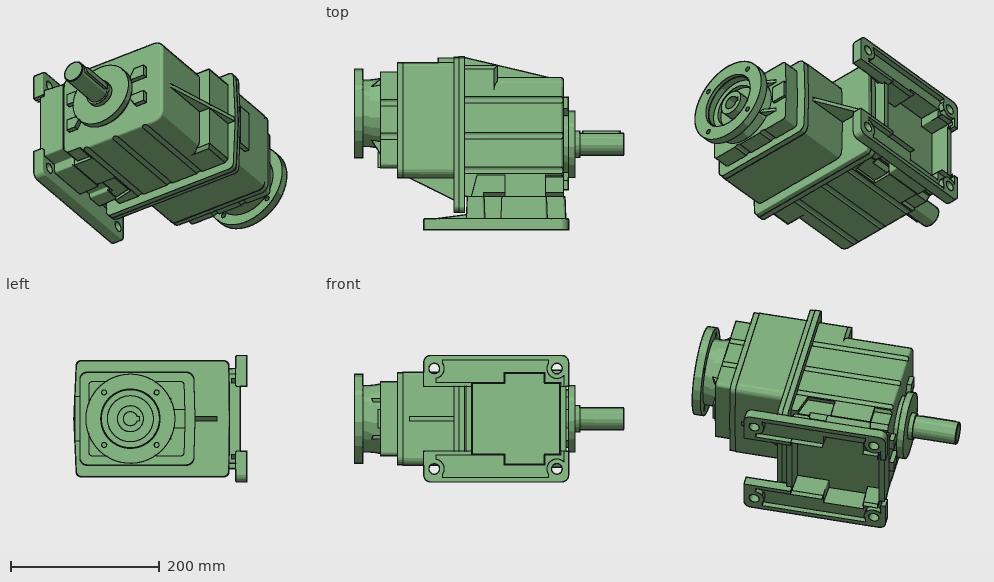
import cadquery as cq
import math


input_axis_y = 156.7
output_axis_y = 115.0
flange_x1 = 11.5
neck_x1 = 21.0
nose_x0 = 35.0
cover_x0 = 58.0
cover_lip_x1 = 65.5
joint_x0 = 134.0
joint_split_x = 140.7
joint_x1 = 148.4
body_x1 = 281.5
seal_x0 = 288.0
seal_x1 = 297.0
collar_x1 = 303.5
shaft_x1 = 363.0

flange_d = 120.0
neck_d = 90.0
flare_d = 94.0
bolt_circle_d = 100.0
bolt_d = 6.6
bolt_count = 4
bolt_start_angle = 45
register_d = 80.0
register_depth = 5.0
relief_d = 78.0
relief_depth = 14.5
seal_bore_d = 62.0
seal_bore_depth = 20.0
hub_d = 35.0
hub_x0 = 6.0
motor_bore_d = 19.0
motor_bore_depth = 45.0
motor_key_width = 6.0
motor_key_reach = 12.3
gusset_z = 25.0
gusset_width = 5.0
gusset_x0 = 23.0
gusset_inner_r = 36.0
gusset_outer_r = 55.0
gusset_top_r = 46.0

nose_y0 = 84.5
nose_y1 = 212.4
nose_half_z = 50.0
nose_crown = 1.5
nose_fillet = 4.4
pad_x0 = 31.7
pad_y0 = 83.5
pad_y1 = 105.0
pad_half_z = 12.7

cover_y0 = 71.5
cover_y1 = 224.8
cover_half_z = 62.8
cover_crown = 1.8
cover_fillet = 10.0
lip_inset = 0.8
cover_rib_x0 = 74.0
cover_rib_y = 40.0
cover_rib_width = 6.0
lug_x0 = 112.8
lug_half_z = 30.0
lug_y1 = 231.5

joint_y0 = 24.0
joint_y1 = 229.5
joint_top_y = 233.0
joint_low_crown = 1.0
joint_half_z = 78.3
joint_fillet = 7.0
joint_inset = 0.5
joint_edge_fillet = 1.0

body_y0 = 45.0
body_y1 = 205.0
body_half_z = 65.4
body_round = 16.0
body_end_fillet = 4.0
shoulder_x1 = 192.5
shoulder_y1 = 221.0
shoulder_chamfer = 4.5
web_x1 = 262.0
web_y1 = 232.0
web_width = 6.0
groove_r = 6.0
groove_width = 8.8
body_groove_ys = (174.9, 126.7, 79.9)
nose_groove_ys = (171.0, 126.0)
recess_y1 = 73.5
recess_slope_y = 50.5
recess_floor_z = 60.5
label_x0 = 165.0
label_low_x0 = 157.5
label_slope_x0 = 173.5
label_x1 = 202.5
end_recess_x0 = 257.0
end_recess_slope_y = 71.0

foot_x0 = 93.2
foot_x1 = 288.5
foot_half_z = 170.47 / 2
foot_thickness = 15.0
strap_inner_z = 43.5
foot_corner_r = 9.5
foot_edge_fillet = 2.0
foot_hole_d = 14.0
foot_hole_xs = (107.5, 272.5)
foot_hole_z = 67.5
hole_rim_r = 13.3
recess_depth = 7.5
recess_outer_z = 79.0
recess_low_z = 60.0
recess_x0 = 118.5
recess_low_x0 = 109.5
recess_x1 = 261.0
recess_low_x1 = 282.0
strap_rib_x0 = 109.0
strap_rib_y1 = 21.0
strap_rib_z = 51.0
strap_rib_width = 6.0
strap_rib_overlap = 4.0

pedestal_y0 = 8.7
pedestal_x0 = 150.4
pedestal_x1 = 285.0
pedestal_taper = 2.2
pedestal_z = 54.6
pedestal_front_x1 = 176.0
pedestal_front_z = 60.5
pedestal_wide_x0 = 197.0
pedestal_wide_x1 = 260.0
pedestal_wide_z = 68.0
pedestal_fillet = 2.7
pocket_x0 = 157.5
pocket_x1 = 277.9
pocket_z = 49.0
pocket_wide_x0 = 201.0
pocket_wide_x1 = 257.0
pocket_wide_z = 62.6
pocket_floor_y = 36.0
pocket_taper = 2.5

seal_d = 90.0
seat_d = 78.0
seat_overlap = 1.0
end_lug_z0 = 12.7
end_lug_z1 = 29.0
end_lug_low_ys = (53.7, 66.6, 77.0)
end_lug_high_ys = (178.6, 162.9, 154.0)
collar_d = 36.0
shaft_d = 30.0
shaft_chamfer = 1.0
key_x0 = 307.0
key_x1 = 358.0
key_width = 8.0
key_top = 18.0


def box(x0, x1, y0, y1, z0, z1):
    return cq.Workplane("XY").box(x1 - x0, y1 - y0, z1 - z0, centered=False).translate((x0, y0, z0))


def disc(diameter, x0, x1, axis_y):
    return cq.Workplane("YZ", origin=(x0, axis_y, 0)).circle(diameter / 2).extrude(x1 - x0)


def plate_xy(points, width, z_mid=0.0):
    """Flat plate with an XY outline, centred on z_mid."""
    start = z_mid - width / 2
    return cq.Workplane("XY", origin=(0, 0, start)).polyline(points).close().extrude(width)


def both_sides(shape):
    return shape.union(shape.mirror("XY"))


def crowned_block(x0, x1, y0, y1, half_z, low_crown, high_crown, fillet):
    """Block along X with rounded corners; its -Y and +Y faces rise to a shallow ridge at Z = 0."""
    outline = [(y0, half_z), (y0 - low_crown, 0), (y0, -half_z), (y1, -half_z)]
    if high_crown:
        outline.append((y1 + high_crown, 0))
    outline.append((y1, half_z))
    block = cq.Workplane("YZ", origin=(x0, 0, 0)).polyline(outline).close().extrude(x1 - x0)
    return block.edges("|X and (>Z or <Z)").fillet(fillet)


def cut_side_grooves(shape, x0, x1, half_z, ys):
    """Shallow round grooves along X in both Z faces."""
    axis_z = half_z + math.sqrt(groove_r**2 - (groove_width / 2) ** 2)
    for y in ys:
        groove = cq.Workplane("YZ", origin=(x0, y, axis_z)).circle(groove_r).extrude(x1 - x0)
        shape = shape.cut(both_sides(groove))
    return shape


def make_nose():
    nose = crowned_block(nose_x0, cover_x0, nose_y0, nose_y1, nose_half_z, nose_crown, 0, nose_fillet)
    nose = cut_side_grooves(nose, nose_x0, cover_x0, nose_half_z, nose_groove_ys)
    pad = box(pad_x0, cover_x0, pad_y0, pad_y1, -pad_half_z, pad_half_z)
    pad = pad.edges("|X and >Y").fillet(nose_fillet / 2)
    flange = disc(flange_d, 0, flange_x1, input_axis_y)
    neck = disc(neck_d, 0, neck_x1, input_axis_y)
    flare = (
        cq.Workplane("YZ", origin=(neck_x1, input_axis_y, 0))
        .circle(neck_d / 2)
        .workplane(offset=nose_x0 - neck_x1)
        .circle(flare_d / 2)
        .loft()
    )
    nose = nose.union(pad).union(flange).union(neck).union(flare)
    for side, reach in ((-1, gusset_outer_r), (1, gusset_top_r)):
        root_y = input_axis_y + side * gusset_inner_r
        tip_y = input_axis_y + side * reach
        outline = [(gusset_x0, root_y), (nose_x0, tip_y), (nose_x0, input_axis_y), (gusset_x0, input_axis_y)]
        nose = nose.union(both_sides(plate_xy(outline, gusset_width, gusset_z)))
    return nose


def cut_input_bore(shape):
    shape = shape.cut(disc(register_d, 0, register_depth, input_axis_y))
    shape = shape.cut(disc(relief_d, 0, relief_depth, input_axis_y))
    shape = shape.cut(disc(seal_bore_d, 0, seal_bore_depth, input_axis_y))
    shape = shape.union(disc(hub_d, hub_x0, seal_bore_depth, input_axis_y))
    shape = shape.cut(disc(motor_bore_d, hub_x0, motor_bore_depth, input_axis_y))
    keyway = box(
        hub_x0, motor_bore_depth,
        input_axis_y - motor_key_reach, input_axis_y,
        -motor_key_width / 2, motor_key_width / 2,
    )
    shape = shape.cut(keyway)
    bolts = (
        cq.Workplane("YZ", origin=(0, input_axis_y, 0))
        .polarArray(bolt_circle_d / 2, bolt_start_angle, 360, bolt_count)
        .circle(bolt_d / 2)
        .extrude(flange_x1)
    )
    return shape.cut(bolts)


def make_cover():
    cover = crowned_block(
        cover_lip_x1, joint_x0, cover_y0, cover_y1, cover_half_z, cover_crown, 0, cover_fillet
    )
    lip = crowned_block(
        cover_x0, cover_lip_x1, cover_y0, cover_y1,
        cover_half_z - lip_inset, cover_crown, 0, cover_fillet,
    )
    rib = plate_xy(
        [(cover_rib_x0, cover_y0 - cover_crown), (cover_rib_x0, cover_y0 + cover_fillet),
         (joint_x0, cover_y0 + cover_fillet), (joint_x0, cover_rib_y)],
        cover_rib_width,
    )
    lug = box(lug_x0, joint_x0, cover_y1 - cover_fillet, lug_y1, -lug_half_z, lug_half_z)
    return cover.union(lip).union(rib).union(lug)


def make_joint_plate():
    front = crowned_block(
        joint_x0, joint_split_x, joint_y0 + joint_inset, joint_y1 - joint_inset,
        joint_half_z - joint_inset, joint_low_crown, joint_top_y - joint_y1, joint_fillet,
    ).faces("<X").edges().fillet(joint_edge_fillet)
    back = crowned_block(
        joint_split_x, joint_x1, joint_y0, joint_y1,
        joint_half_z, joint_low_crown, joint_top_y - joint_y1, joint_fillet,
    )
    return front.union(back)


def side_recess(x0, x1, slope_y):
    """Pocket in a side face: flat floor, and a lower end sloping in to the pedestal."""
    outer_z = pedestal_wide_z
    return (
        cq.Workplane("YZ", origin=(x0, 0, 0))
        .polyline([
            (body_y0, pedestal_z), (recess_slope_y, recess_floor_z), (slope_y, recess_floor_z),
            (recess_y1, body_half_z), (recess_y1, outer_z), (body_y0, outer_z),
        ])
        .close()
        .extrude(x1 - x0)
    )


def label_recess():
    """Label field: slanted front edge, flat floor."""
    outline = [(label_low_x0, body_y0), (label_x0, recess_y1), (label_x1, recess_y1), (label_x1, body_y0)]
    field = plate_xy(outline, body_half_z - recess_floor_z, (body_half_z + recess_floor_z) / 2)
    slope = side_recess(label_slope_x0, label_x1, recess_y1)
    return field.union(slope)


def make_body():
    body = box(joint_x1, body_x1, body_y0, body_y1, -body_half_z, body_half_z)
    body = body.edges("|X and >Y").fillet(body_round)
    body = body.faces(">X").edges("|Y").fillet(body_end_fillet)
    shoulder = box(joint_x1, shoulder_x1, body_y0, shoulder_y1, -body_half_z, body_half_z)
    shoulder = shoulder.edges("(>Y and |X) or (>X and |Y)").chamfer(shoulder_chamfer)
    body = body.union(shoulder)
    body = cut_side_grooves(body, joint_x1, body_x1, body_half_z, body_groove_ys)
    body = body.cut(both_sides(label_recess()))
    body = body.cut(both_sides(side_recess(end_recess_x0, body_x1, end_recess_slope_y)))
    web = plate_xy(
        [(joint_x1, body_y1), (joint_x1, web_y1), (web_x1, body_y1)], web_width
    )
    return body.union(web)


def foot_prism(points, y0, y1, taper):
    """Prism along +Y from an outline in X and Z."""
    return (
        cq.Workplane(cq.Plane((0, y0, 0), (0, 0, 1), (0, 1, 0)))
        .polyline([(z, x) for x, z in points])
        .close()
        .extrude(y1 - y0, taper=taper)
    )


def mirrored_outline(upper):
    return upper + [(x, -z) for x, z in reversed(upper)]


def strap_recess():
    """Shallow relief in a strap that leaves round rims about its two holes."""
    y0, y1 = 0, recess_depth
    relief = box(recess_x0, recess_x1, y0, y1, pocket_z, recess_outer_z)
    relief = relief.union(box(recess_low_x0, recess_low_x1, y0, y1, pocket_z, recess_low_z))
    relief = relief.union(box(pocket_x1, recess_low_x1, y0, y1, strap_inner_z, pocket_z))
    for x in foot_hole_xs:
        rim = cq.Workplane("XZ", origin=(x, 0, foot_hole_z)).circle(hole_rim_r).extrude(-recess_depth)
        relief = relief.cut(rim)
    return relief


def make_strap():
    strap = box(foot_x0, foot_x1, 0, foot_thickness, strap_inner_z, foot_half_z)
    strap = strap.edges("|Y and >Z").fillet(foot_corner_r)
    strap = strap.faces(">Y").edges().fillet(foot_edge_fillet)
    rib = plate_xy(
        [(strap_rib_x0, foot_thickness), (pedestal_x0 + strap_rib_overlap, strap_rib_y1),
         (pedestal_x0 + strap_rib_overlap, foot_thickness)],
        strap_rib_width, strap_rib_z,
    )
    return strap.union(rib)


def make_pedestal():
    outline = mirrored_outline([
        (pedestal_x0, pedestal_front_z), (pedestal_front_x1, pedestal_front_z),
        (pedestal_front_x1, pedestal_z), (pedestal_wide_x0, pedestal_z),
        (pedestal_wide_x0, pedestal_wide_z), (pedestal_wide_x1, pedestal_wide_z),
        (pedestal_wide_x1, pedestal_z), (pedestal_x1, pedestal_z),
    ])
    pedestal = foot_prism(outline, pedestal_y0, body_y0, pedestal_taper)
    return pedestal.edges("not(#Y)").fillet(pedestal_fillet)


def cut_foot(shape):
    outline = mirrored_outline([
        (pocket_x0, pocket_z), (pocket_wide_x0, pocket_z),
        (pocket_wide_x0, pocket_wide_z), (pocket_wide_x1, pocket_wide_z),
        (pocket_wide_x1, pocket_z), (pocket_x1, pocket_z),
    ])
    shape = shape.cut(foot_prism(outline, 0, pocket_floor_y, pocket_taper))
    shape = shape.cut(both_sides(strap_recess()))
    for x in foot_hole_xs:
        hole = cq.Workplane("XZ", origin=(x, 0, foot_hole_z)).circle(foot_hole_d / 2).extrude(-foot_thickness)
        shape = shape.cut(both_sides(hole))
    return shape


def end_lug(outer_y, corner_y, root_y):
    """Lug on the end face, bevelled towards the bearing seat."""
    outline = [(outer_y, end_lug_z0), (outer_y, end_lug_z1), (corner_y, end_lug_z1), (root_y, end_lug_z0)]
    lug = cq.Workplane("YZ", origin=(body_x1 - seat_overlap, 0, 0)).polyline(outline).close()
    return lug.extrude(seal_x0 - body_x1 + seat_overlap)


def make_output():
    output = disc(seat_d, body_x1 - seat_overlap, seal_x0, output_axis_y)
    for lug_ys in (end_lug_low_ys, end_lug_high_ys):
        output = output.union(both_sides(end_lug(*lug_ys)))
    output = output.union(disc(seal_d, seal_x0, seal_x1, output_axis_y))
    output = output.union(disc(collar_d, seal_x1, collar_x1, output_axis_y))
    shaft = disc(shaft_d, seal_x1, shaft_x1, output_axis_y).faces(">X").chamfer(shaft_chamfer)
    key_mid_x = (key_x0 + key_x1) / 2
    key = cq.Workplane("XZ", origin=(key_mid_x, output_axis_y, 0)).slot2D(key_x1 - key_x0, key_width)
    key = key.extrude(-key_top)
    return output.union(shaft).union(key)


foot = cut_foot(make_body().union(both_sides(make_strap())).union(make_pedestal()))
result = cut_input_bore(make_nose()).union(make_cover()).union(make_joint_plate())
result = result.union(foot).union(make_output())